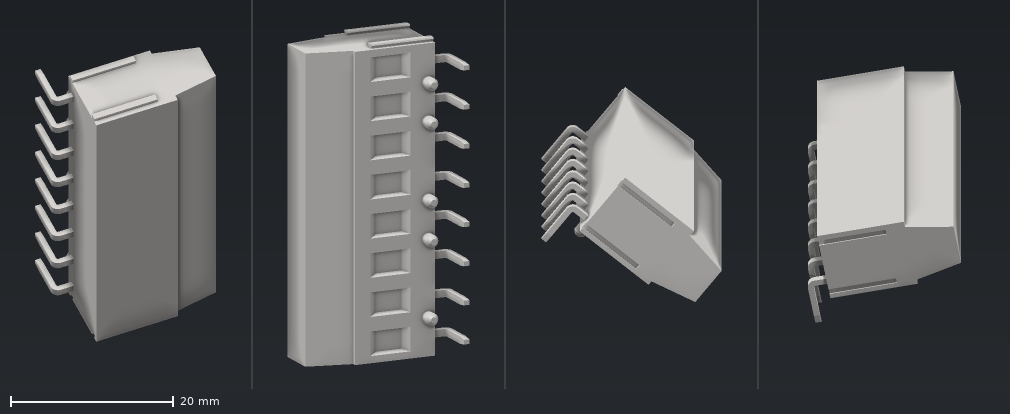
import cadquery as cq

OVERALL_HEIGHT = 40.55
POLES = 8
BODY_HEIGHT = 40.0
BODY_WIDTH = 8.9
BODY_DEPTH = 16.8
PITCH = BODY_HEIGHT / POLES
SHOULDER_Y = 10.9
TAPER_BASE_LEFT = 0.55
TAPER_BASE_RIGHT = 8.1
TAPER_TIP_LEFT = 1.9
TAPER_TIP_RIGHT = 7.05

RAIL_HEIGHT = OVERALL_HEIGHT - BODY_HEIGHT
RAIL_LENGTH = 8.48
RAIL_WIDTH = 1.05
RAIL_TOP_WIDTH = 0.9
RAIL_NECK_WIDTH = 0.65
RAIL_NECK_HEIGHT = 0.12
RAIL_SHOULDER_HEIGHT = 0.35
RAIL_CENTRES = (0.95, 7.85)

WINDOW_Y = 6.1
WINDOW_LENGTH = 5.48
WINDOW_HEIGHT = 3.15
WINDOW_FLOOR_Y = 6.0
WINDOW_FLOOR_LENGTH = 3.53
WINDOW_FLOOR_HEIGHT = 2.65
WINDOW_DEPTH = 0.77

PIN_WIDTH = 0.95
PIN_THICKNESS = 0.75
PIN_REACH = 4.2
PIN_DROP = 2.68
PIN_OUTER_X = 1.7
PIN_BEND_RADIUS = 0.95
PIN_TIP_LENGTH = 1.05
PIN_TIP_WIDTH = 0.6
PIN_EMBED = 0.8

PEG_DIAMETER = 1.6
PEG_LENGTH = 1.7
PEG_CHAMFER = 0.4
PEG_Y = 0.97
PEG_GAPS = (1, 3, 4, 6, 7)


def make_body():
    outline = [
        (0, 0),
        (BODY_WIDTH, 0),
        (BODY_WIDTH, SHOULDER_Y),
        (TAPER_BASE_RIGHT, SHOULDER_Y),
        (TAPER_TIP_RIGHT, BODY_DEPTH),
        (TAPER_TIP_LEFT, BODY_DEPTH),
        (TAPER_BASE_LEFT, SHOULDER_Y),
        (0, SHOULDER_Y),
    ]
    return cq.Workplane("XY").polyline(outline).close().extrude(BODY_HEIGHT)


def make_dovetail(centre_x, base_z, top_width):
    """Dovetail bar running back from the front face, for a rail or its matching groove."""
    right_half = [
        (RAIL_NECK_WIDTH / 2, 0),
        (RAIL_NECK_WIDTH / 2, RAIL_NECK_HEIGHT),
        (RAIL_WIDTH / 2, RAIL_SHOULDER_HEIGHT),
        (top_width / 2, RAIL_HEIGHT),
    ]
    left_half = [(-x, z) for x, z in reversed(right_half)]
    bar = cq.Workplane("XZ").polyline(right_half + left_half).close().extrude(-RAIL_LENGTH)
    return bar.translate((centre_x, 0, base_z))


def make_window(centre_z):
    """Rectangular recess whose four walls slope in towards the floor."""
    return (
        cq.Workplane("YZ", origin=(0, WINDOW_Y, centre_z))
        .rect(WINDOW_LENGTH, WINDOW_HEIGHT)
        .workplane(offset=WINDOW_DEPTH)
        .center(WINDOW_FLOOR_Y - WINDOW_Y, 0)
        .rect(WINDOW_FLOOR_LENGTH, WINDOW_FLOOR_HEIGHT)
        .loft(ruled=True)
    )


def make_pin(centre_z):
    """L-shaped flat pin that leaves the front face and turns to -X, with a tapered tip."""
    inner_x = PIN_OUTER_X - PIN_THICKNESS
    inner_y = PIN_THICKNESS - PIN_DROP
    inner_radius = PIN_BEND_RADIUS - PIN_THICKNESS
    profile = (
        cq.Workplane("XY", origin=(0, 0, -PIN_WIDTH / 2))
        .moveTo(-PIN_REACH, -PIN_DROP)
        .lineTo(PIN_OUTER_X - PIN_BEND_RADIUS, -PIN_DROP)
        .radiusArc((PIN_OUTER_X, PIN_BEND_RADIUS - PIN_DROP), -PIN_BEND_RADIUS)
        .lineTo(PIN_OUTER_X, PIN_EMBED)
        .lineTo(inner_x, PIN_EMBED)
        .lineTo(inner_x, inner_y + inner_radius)
        .radiusArc((inner_x - inner_radius, inner_y), inner_radius)
        .lineTo(-PIN_REACH, inner_y)
        .close()
        .extrude(PIN_WIDTH)
    )
    tip_inset = (PIN_WIDTH - PIN_TIP_WIDTH) / 2
    corner = [
        (-PIN_REACH, PIN_WIDTH / 2),
        (PIN_TIP_LENGTH - PIN_REACH, PIN_WIDTH / 2),
        (-PIN_REACH, PIN_WIDTH / 2 - tip_inset),
    ]
    upper_cut = cq.Workplane("XZ").polyline(corner).close().extrude(PIN_DROP)
    lower_cut = upper_cut.mirror("XY")
    return profile.cut(upper_cut).cut(lower_cut).translate((0, 0, centre_z))


def make_peg(centre_z):
    return (
        cq.Workplane("YZ", origin=(0, PEG_Y, centre_z))
        .circle(PEG_DIAMETER / 2)
        .extrude(-PEG_LENGTH)
        .faces("<X")
        .chamfer(PEG_CHAMFER)
    )


result = make_body()

for rail_x in RAIL_CENTRES:
    result = result.union(make_dovetail(rail_x, BODY_HEIGHT, RAIL_TOP_WIDTH))
    result = result.cut(make_dovetail(rail_x, 0, RAIL_WIDTH))

for pole in range(POLES):
    pole_z = (pole + 0.5) * PITCH
    result = result.cut(make_window(pole_z)).union(make_pin(pole_z))

for gap in PEG_GAPS:
    result = result.union(make_peg(gap * PITCH))